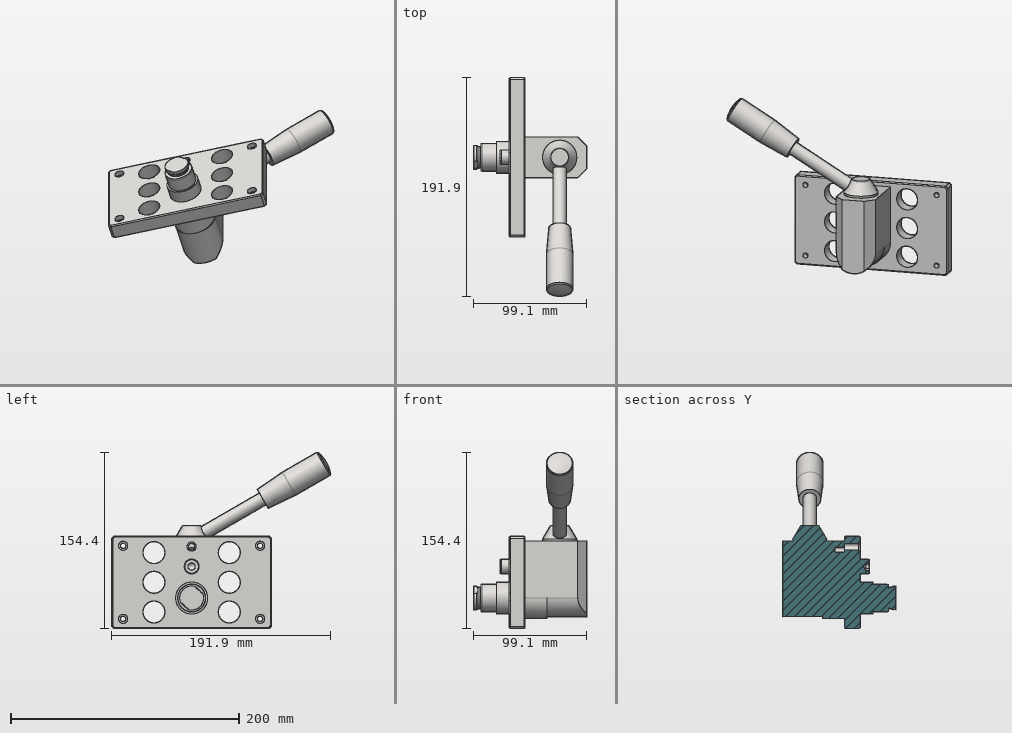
import cadquery as cq
import math


plate_thickness = 14.0
plate_width = 140.0
plate_height = 81.0
plate_center_z = 13.75
plate_corner_chamfer = 2.0
plate_face_chamfer = 1.0
plate_front_x = -plate_thickness

port_diameter = 19.0
port_offset_y = 33.0
port_pitch_z = 26.0
mount_hole_diameter = 4.5
mount_counterbore_diameter = 8.0
mount_counterbore_depth = 4.5
mount_pitch_y = 120.0
mount_pitch_z = 64.0

access_z = 45.0
access_diameter = 5.5
access_counterbore_diameter = 8.0
access_counterbore_depth = 1.5
blind_hole_diameter = 4.13
blind_hole_drop = 2.75
blind_hole_depth = 8.0
drill_tip_half_angle = 59.0

block_length = 54.0
block_width = 36.0
block_top_z = 50.0
block_bottom_z = -16.5
block_corner_chamfer = 8.0
collar_length = 19.0

plug_base_diameter = 28.0
plug_base_length = 11.2
plug_body_diameter = 24.5
plug_body_length = 13.5
plug_body_tip_diameter = 24.0
plug_body_taper_length = 1.4
plug_neck_diameter = 18.0
plug_neck_length = 0.9
plug_ring_diameter = 19.2
plug_ring_length = 1.9
plug_head_diameter = 21.0
plug_head_taper_length = 1.0
plug_head_length = 2.6
plug_flats_width = 19.0
plug_flats_angle = 48.0

screw_z = 27.6
screw_head_diameter = 13.0
screw_head_height = 8.0
screw_rim_diameter = 12.0
screw_rim_length = 1.2
screw_socket_width = 6.0
screw_socket_depth = 3.0

hub_x = 30.25
hub_diameter = 30.0
hub_base_height = 1.8
hub_height = 13.6
hub_top_diameter = 16.8
hub_top_chamfer = 0.7

lever_angle = 30.0
lever_pivot_z = 50.9
rod_diameter = 12.0
knob_start = 71.9
knob_start_diameter = 19.4
knob_taper_end = 98.5
knob_diameter = 23.5
knob_end = 133.15
knob_rim_length = 1.2
knob_rim_inset = 0.7
knob_dome_height = 3.2


def rod_along_x(diameter, x_start, x_end, y=0.0, z=0.0):
    start_plane = cq.Plane(origin=(x_start, y, z), xDir=(0, 1, 0), normal=(1, 0, 0))
    return cq.Workplane(start_plane).circle(diameter / 2).extrude(x_end - x_start)


def cone_along_x(start_diameter, end_diameter, x_start, x_end, y=0.0, z=0.0):
    cone = cq.Solid.makeCone(
        start_diameter / 2,
        end_diameter / 2,
        x_end - x_start,
        cq.Vector(x_start, y, z),
        cq.Vector(1, 0, 0),
    )
    return cq.Workplane(cone)


def make_plate():
    plate = cq.Workplane("XY").box(plate_thickness, plate_width, plate_height)
    plate = plate.edges("|X").chamfer(plate_corner_chamfer)
    plate = plate.faces("<X or >X").chamfer(plate_face_chamfer)
    plate = plate.translate((-plate_thickness / 2, 0, plate_center_z))
    for side in (-1, 1):
        for row in (-1, 0, 1):
            port_z = plate_center_z + row * port_pitch_z
            plate = plate.cut(rod_along_x(port_diameter, plate_front_x, 0, side * port_offset_y, port_z))
        for level in (-1, 1):
            hole_y = side * mount_pitch_y / 2
            hole_z = plate_center_z + level * mount_pitch_z / 2
            counterbore_end_x = plate_front_x + mount_counterbore_depth
            plate = plate.cut(rod_along_x(mount_hole_diameter, plate_front_x, 0, hole_y, hole_z))
            plate = plate.cut(
                rod_along_x(mount_counterbore_diameter, plate_front_x, counterbore_end_x, hole_y, hole_z)
            )
    counterbore_end_x = plate_front_x + access_counterbore_depth
    plate = plate.cut(rod_along_x(access_diameter, plate_front_x, 0, z=access_z))
    return plate.cut(rod_along_x(access_counterbore_diameter, plate_front_x, counterbore_end_x, z=access_z))


def make_block():
    half_width = block_width / 2
    block = (
        cq.Workplane("YZ")
        .moveTo(-half_width, block_top_z)
        .lineTo(-half_width, 0)
        .threePointArc((0, block_bottom_z), (half_width, 0))
        .lineTo(half_width, block_top_z)
        .close()
        .extrude(block_length)
    )
    chamfered_outline = (
        cq.Workplane("XY")
        .box(block_length, block_width, 2 * block_top_z, centered=(False, True, True))
        .edges("|Z and >X")
        .chamfer(block_corner_chamfer)
    )
    block = block.intersect(chamfered_outline)
    block = block.union(rod_along_x(block_width, 0, collar_length))

    blind_hole_z = access_z - blind_hole_drop
    tip_length = blind_hole_diameter / 2 / math.tan(math.radians(drill_tip_half_angle))
    tip_end_x = blind_hole_depth + tip_length
    block = block.cut(rod_along_x(blind_hole_diameter, 0, blind_hole_depth, z=blind_hole_z))
    return block.cut(cone_along_x(blind_hole_diameter, 0, blind_hole_depth, tip_end_x, z=blind_hole_z))


def make_plug():
    base_x = plate_front_x - plug_base_length
    body_x = base_x - plug_body_length
    neck_x = body_x - plug_neck_length
    ring_x = neck_x - plug_ring_length
    taper_x = ring_x - plug_head_taper_length
    head_x = taper_x - plug_head_length
    body_taper_x = body_x + plug_body_taper_length

    head = rod_along_x(plug_head_diameter, head_x, taper_x)
    head = head.union(cone_along_x(plug_head_diameter, plug_ring_diameter, taper_x, ring_x))
    flats = (
        cq.Workplane("YZ", origin=(head_x, 0, 0))
        .rect(plug_flats_width, 2 * plug_head_diameter)
        .extrude(ring_x - head_x)
        .rotate((0, 0, 0), (1, 0, 0), -plug_flats_angle)
    )
    plug = rod_along_x(plug_base_diameter, base_x, plate_front_x)
    plug = plug.union(rod_along_x(plug_body_diameter, body_taper_x, base_x))
    plug = plug.union(cone_along_x(plug_body_tip_diameter, plug_body_diameter, body_x, body_taper_x))
    plug = plug.union(rod_along_x(plug_neck_diameter, neck_x, body_x))
    plug = plug.union(rod_along_x(plug_ring_diameter, ring_x, neck_x))
    return plug.union(head.intersect(flats))


def make_screw():
    head_x = plate_front_x - screw_head_height
    rim_x = head_x + screw_rim_length
    socket_end_x = head_x + screw_socket_depth
    socket_corner_diameter = screw_socket_width / math.cos(math.radians(30))
    tip_length = socket_corner_diameter / 2 / math.tan(math.radians(drill_tip_half_angle))

    screw = rod_along_x(screw_head_diameter, rim_x, plate_front_x, z=screw_z)
    screw = screw.union(cone_along_x(screw_rim_diameter, screw_head_diameter, head_x, rim_x, z=screw_z))
    hexagon = (
        cq.Workplane("YZ", origin=(head_x, 0, screw_z))
        .polygon(6, socket_corner_diameter)
        .extrude(screw_head_height)
        .rotate((0, 0, screw_z), (1, 0, screw_z), 90)
    )
    socket = rod_along_x(socket_corner_diameter, head_x, socket_end_x, z=screw_z)
    tip_end_x = socket_end_x + tip_length
    socket = socket.union(cone_along_x(socket_corner_diameter, 0, socket_end_x, tip_end_x, z=screw_z))
    return screw.cut(socket.intersect(hexagon))


def make_hub():
    top_radius = hub_top_diameter / 2
    return (
        cq.Workplane("XZ")
        .lineTo(hub_diameter / 2, 0)
        .lineTo(hub_diameter / 2, hub_base_height)
        .lineTo(top_radius, hub_height - hub_top_chamfer)
        .lineTo(top_radius - hub_top_chamfer, hub_height)
        .lineTo(0, hub_height)
        .close()
        .revolve(360, (0, 0, 0), (0, 1, 0))
        .translate((hub_x, 0, block_top_z))
    )


def make_lever():
    rim_radius = knob_diameter / 2 - knob_rim_inset
    rim_end = knob_end + knob_rim_length
    tip = knob_end + knob_dome_height
    dome_radius = (rim_radius**2 + (tip - rim_end) ** 2) / (2 * (tip - rim_end))
    half_chord = rim_radius / 2
    dome_mid = tip - dome_radius + math.sqrt(dome_radius**2 - half_chord**2)
    lever = (
        cq.Workplane("XZ")
        .lineTo(rod_diameter / 2, 0)
        .lineTo(rod_diameter / 2, knob_start)
        .lineTo(knob_start_diameter / 2, knob_start)
        .lineTo(knob_diameter / 2, knob_taper_end)
        .lineTo(knob_diameter / 2, knob_end)
        .lineTo(rim_radius, rim_end)
        .threePointArc((half_chord, dome_mid), (0, tip))
        .close()
        .revolve(360, (0, 0, 0), (0, 1, 0))
    )
    lever = lever.rotate((0, 0, 0), (1, 0, 0), 90 - lever_angle)
    return lever.translate((hub_x, 0, lever_pivot_z))


result = make_plate()
for component in (make_block(), make_plug(), make_screw(), make_hub(), make_lever()):
    result = result.union(component)